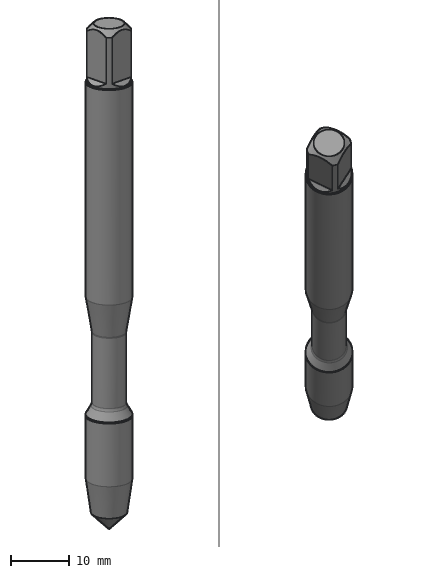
import cadquery as cq
import math

TOTAL_LENGTH = 93.0
SHANK_RADIUS = 8.1 / 2
DRIVE_RADIUS = 7.7 / 2
NECK_RADIUS = 5.95 / 2

TIP_RADIUS = 3.2
TIP_HEIGHT = TIP_RADIUS
LEAD_TOP = 9.4
CUTTER_TOP = 20.9

COLLAR_SHOULDER_Z = 21.2
COLLAR_ANGLE = 30.0
NECK_BOTTOM = COLLAR_SHOULDER_Z + (SHANK_RADIUS - NECK_RADIUS) / math.tan(math.radians(COLLAR_ANGLE))
NECK_FILLET = 1.1
NECK_TOP = 36.4
TAPER_TOP = 42.8
SHANK_TOP = 82.2
SHANK_CHAMFER = SHANK_RADIUS - DRIVE_RADIUS
EDGE_SEARCH = 0.1

SQUARE_WIDTH = 6.1
SQUARE_BOTTOM = 83.3
END_CHAMFER = 1.2


def revolve_profile(points):
    """Revolve a closed (radius, height) outline about the Z axis."""
    return cq.Workplane("XZ").polyline(points).close().revolve(360, (0, 0), (0, 1))


def make_cutter():
    """Solid cutting section with a conical point and a tapered lead."""
    return revolve_profile([
        (0, 0),
        (TIP_RADIUS, TIP_HEIGHT),
        (SHANK_RADIUS, LEAD_TOP),
        (SHANK_RADIUS, CUTTER_TOP),
        (0, CUTTER_TOP),
    ])


def make_flat_cutter():
    """Waste beside the +X flat, running out of the shank on a 45 degree ramp."""
    flat = SQUARE_WIDTH / 2
    ramp_run = SHANK_RADIUS - flat
    profile = [
        (flat, SQUARE_BOTTOM),
        (SHANK_RADIUS, SQUARE_BOTTOM - ramp_run),
        (SHANK_RADIUS, TOTAL_LENGTH),
        (flat, TOTAL_LENGTH),
    ]
    return cq.Workplane("XZ").polyline(profile).close().extrude(SHANK_RADIUS, both=True)


def make_shank():
    """Turned shank with a relieved neck, a collar and a square drive."""
    shank = revolve_profile([
        (0, CUTTER_TOP),
        (SHANK_RADIUS, CUTTER_TOP),
        (SHANK_RADIUS, COLLAR_SHOULDER_Z),
        (NECK_RADIUS, NECK_BOTTOM),
        (NECK_RADIUS, NECK_TOP),
        (SHANK_RADIUS, TAPER_TOP),
        (SHANK_RADIUS, SHANK_TOP),
        (DRIVE_RADIUS, SHANK_TOP + SHANK_CHAMFER),
        (DRIVE_RADIUS, TOTAL_LENGTH - END_CHAMFER),
        (DRIVE_RADIUS - END_CHAMFER, TOTAL_LENGTH),
        (0, TOTAL_LENGTH),
    ])
    for neck_end in (NECK_BOTTOM, NECK_TOP):
        shank = shank.edges(cq.selectors.BoxSelector(
            (-SHANK_RADIUS, -SHANK_RADIUS, neck_end - EDGE_SEARCH),
            (SHANK_RADIUS, SHANK_RADIUS, neck_end + EDGE_SEARCH),
            boundingbox=True,
        )).fillet(NECK_FILLET)
    flat_cutter = make_flat_cutter()
    for angle in range(0, 360, 90):
        shank = shank.cut(flat_cutter.rotate((0, 0, 0), (0, 0, 1), angle))
    return shank


cutter = make_cutter()
shank = make_shank()

result = cq.Compound.makeCompound([cutter.val(), shank.val()])